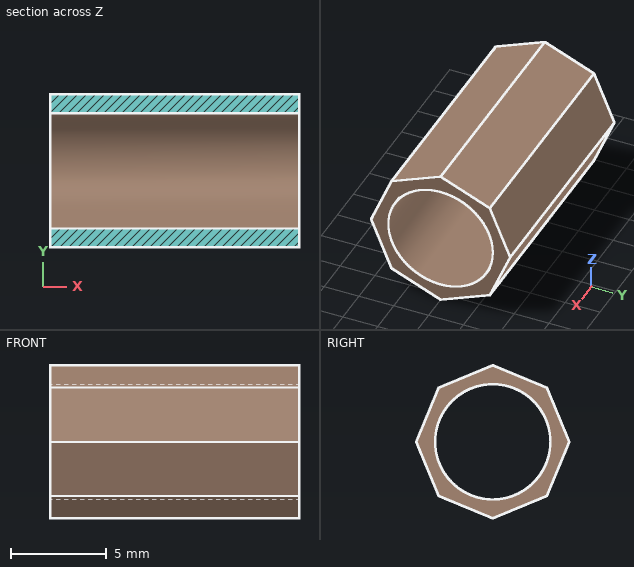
import cadquery as cq

length = 13.0
across_corners = 8.0
bore_diameter = 6.0
side_count = 8

result = (
    cq.Workplane("YZ", origin=(-length / 2, 0, 0))
    .polygon(side_count, across_corners)
    .circle(bore_diameter / 2)
    .extrude(length)
)